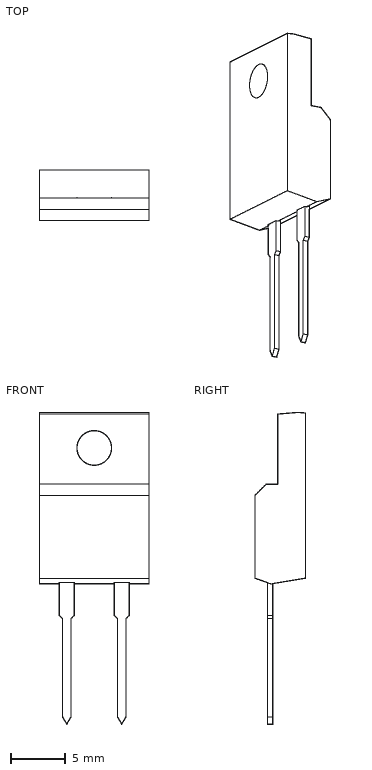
import cadquery as cq


width = 10.16
depth = 4.7
total_height = 28.85

tab_thickness = 2.6
tab_height = 6.64
ridge_from_back = 0.7
ridge_drop_back = 0.06
ridge_drop_front = 0.16
hole_diameter = 3.18
hole_below_top = 3.3

body_chamfer = 1.05
body_wall_height = 15.35
body_height = 15.88
wedge_edge_from_back = 3.2

lead_pitch = 5.08
lead_thickness = 0.5
lead_from_back = 3.28
lead_root_width = 1.4
lead_pin_width = 0.8
lead_root_end = 18.78
lead_tip_length = 0.68
lead_embedding = 1.0

lead_taper = (lead_root_width - lead_pin_width) / 2


def make_package():
    """Side profile of tab and body, extruded across the full width."""
    profile = [
        (0, -ridge_drop_back),
        (-ridge_from_back, 0),
        (-tab_thickness, -ridge_drop_front),
        (-tab_thickness, -tab_height),
        (-depth + body_chamfer, -tab_height),
        (-depth, -tab_height - body_chamfer),
        (-depth, -body_wall_height),
        (-wedge_edge_from_back, -body_height),
        (0, -body_wall_height),
    ]
    return cq.Workplane("YZ").polyline(profile).close().extrude(width / 2, both=True)


def make_hole():
    """Mounting hole through the tab from front to back."""
    hole = cq.Workplane("XZ").center(0, -hole_below_top).circle(hole_diameter / 2)
    return hole.extrude(tab_thickness)


def make_lead(center_x):
    """Flat lead: wide root, tapered shoulder, narrow pin and pointed tip."""
    root_half = lead_root_width / 2
    pin_half = lead_pin_width / 2
    root_top = -body_height + lead_embedding
    pin_top = -lead_root_end - lead_taper
    tip_top = -total_height + lead_tip_length
    outline = [
        (-root_half, root_top),
        (-root_half, -lead_root_end),
        (-pin_half, pin_top),
        (-pin_half, tip_top),
        (0, -total_height),
        (pin_half, tip_top),
        (pin_half, pin_top),
        (root_half, -lead_root_end),
        (root_half, root_top),
    ]
    lead = cq.Workplane("XZ").polyline(outline).close().extrude(lead_thickness / 2, both=True)
    return lead.translate((center_x, -lead_from_back, 0))


result = make_package().cut(make_hole())
for side in (-1, 1):
    result = result.union(make_lead(side * lead_pitch / 2))